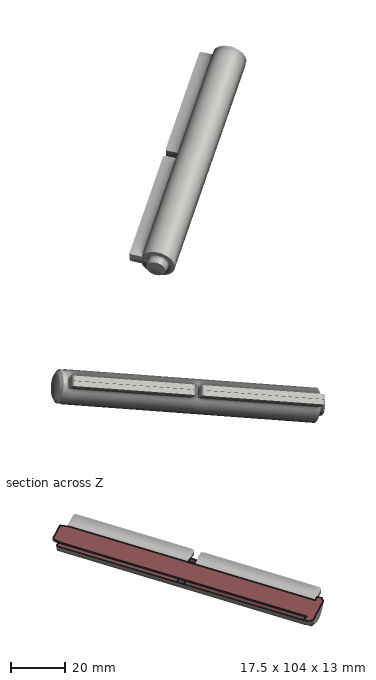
import cadquery as cq
import math

total_length = 104.0
knuckle_diameter = 13.0
bore_diameter = 9.0
shaft_diameter = 8.7
total_width = 17.5
slit_gap = 0.1
leaf_corner_radius = 0.9
inner_bend_radius = 0.9
washer_thickness = 2.5
head_diameter = 12.7
head_thickness = 3.0
head_chamfer_length = 1.0
head_chamfer_depth = 1.4
tip_diameter = 7.3
tip_exposure = 2.6
taper_length = 3.6

knuckle_radius = knuckle_diameter / 2
head_radius = head_diameter / 2
bore_radius = bore_diameter / 2
shaft_radius = shaft_diameter / 2
tip_radius = tip_diameter / 2
leaf_reach = total_width - knuckle_radius
sheet_thickness = knuckle_radius - bore_radius
flange_thickness = 2 * sheet_thickness
leaf_length = (total_length - head_thickness - washer_thickness - tip_exposure) / 2

head_top = total_length / 2
pin_tip = -total_length / 2
head_seat = head_top - head_thickness
upper_leaf_start = head_seat - leaf_length
washer_start = upper_leaf_start - washer_thickness
lower_leaf_start = washer_start - leaf_length


def cylinder(radius, start, length):
    """Cylinder along +Y from the given Y position."""
    return cq.Workplane("XZ", origin=(0, start, 0)).circle(radius).extrude(-length)


def flange_block(thickness, start):
    """Flat block from the pin axis out to the free edge of a leaf."""
    block = cq.Workplane("XY").box(leaf_reach, leaf_length, thickness, centered=(False, False, True))
    return block.translate((-leaf_reach, start, 0))


def edges_at_junction(radius, half_height, start):
    """Selector box around the two edges where a flat meets a round of this radius."""
    junction_x = -math.sqrt(radius**2 - half_height**2)
    margin = 0.05
    reach_z = half_height + margin
    return cq.selectors.BoxSelector(
        (junction_x - margin, start, -reach_z),
        (junction_x + margin, start + leaf_length, reach_z),
    )


def make_leaf(start):
    """Sheet folded around the pin, with its two plies forming a slit flange."""
    flange = flange_block(flange_thickness, start).edges("|Z and <X").fillet(leaf_corner_radius)
    leaf = cylinder(knuckle_radius, start, leaf_length).union(flange)
    leaf = leaf.cut(cylinder(bore_radius, start, leaf_length))
    leaf = leaf.cut(flange_block(slit_gap, start))
    leaf = leaf.edges(edges_at_junction(bore_radius, slit_gap / 2, start))
    return leaf.fillet(inner_bend_radius)


def make_washer():
    """Plain ring between the two leaves."""
    ring = cylinder(knuckle_radius, washer_start, washer_thickness)
    return ring.cut(cylinder(bore_radius, washer_start, washer_thickness))


def make_pin():
    """Headed pin, revolved about Y, with a chamfered head and a tapered tip."""
    profile = [
        (0, pin_tip),
        (tip_radius, pin_tip),
        (shaft_radius, pin_tip + taper_length),
        (shaft_radius, head_seat),
        (head_radius, head_seat),
        (head_radius, head_top - head_chamfer_length),
        (head_radius - head_chamfer_depth, head_top),
        (0, head_top),
    ]
    return cq.Workplane("XY").polyline(profile).close().revolve(360, (0, 0), (0, 1))


leaves = [make_leaf(start) for start in (lower_leaf_start, upper_leaf_start)]
washer = make_washer()
pin = make_pin()

result = cq.Compound.makeCompound([*[leaf.val() for leaf in leaves], washer.val(), pin.val()])